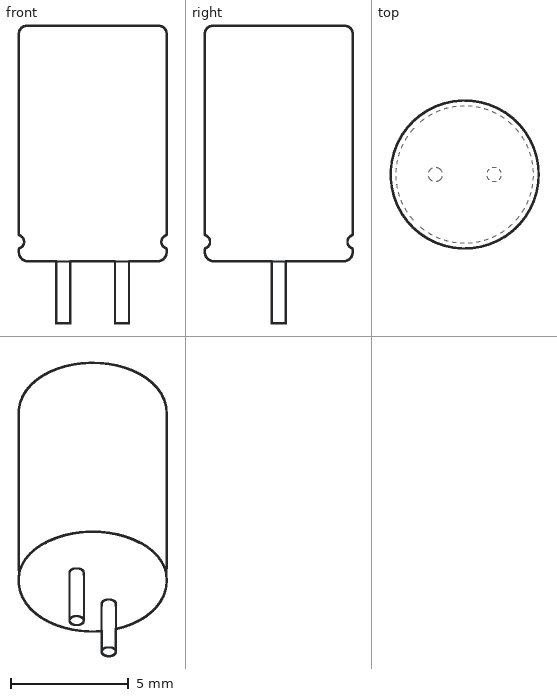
import cadquery as cq
import math

total_height = 12.66
can_diameter = 6.3
lead_length = 2.63
lead_diameter = 0.61
lead_spacing = 2.5
top_fillet = 0.35
base_fillet = 0.4

groove_height = 3.47
groove_depth = 0.23
groove_half_width = 0.27
lip_height = 0.08
lip_inset = 0.04

can_radius = can_diameter / 2
can_height = total_height - lead_length
groove_floor_radius = can_radius - groove_depth
lip_radius = can_radius - lip_inset
groove_top = groove_height + groove_half_width
groove_bottom = groove_height - groove_half_width


def make_can():
    """Plain cylinder with rounded top and base rims."""
    can = cq.Workplane("XY").workplane(offset=lead_length).circle(can_radius).extrude(can_height)
    return can.faces(">Z").edges().fillet(top_fillet).faces("<Z").edges().fillet(base_fillet)


def lip_midpoint(side):
    """Middle of a lip arc that is tangent to the can wall; side is +1 above, -1 below."""
    arc_radius = (lip_height**2 + lip_inset**2) / (2 * lip_inset)
    half_angle = math.asin(lip_height / arc_radius) / 2
    wall_end = groove_height + side * (groove_half_width + lip_height)
    radius = can_radius - arc_radius * (1 - math.cos(half_angle))
    return radius, wall_end - side * arc_radius * math.sin(half_angle)


def make_groove_cutter():
    """Ring whose inner side is the groove arc and its two lips."""
    cutter_radius = can_radius + groove_depth
    profile = (
        cq.Workplane("XZ")
        .moveTo(cutter_radius, groove_bottom - lip_height)
        .lineTo(can_radius, groove_bottom - lip_height)
        .threePointArc(lip_midpoint(-1), (lip_radius, groove_bottom))
        .threePointArc((groove_floor_radius, groove_height), (lip_radius, groove_top))
        .threePointArc(lip_midpoint(1), (can_radius, groove_top + lip_height))
        .lineTo(cutter_radius, groove_top + lip_height)
        .close()
    )
    return profile.revolve(360, (0, 0, 0), (0, 1, 0))


def make_leads():
    """Two round leads side by side along X, from the lead tips to the can base."""
    lead_centers = [(-lead_spacing / 2, 0), (lead_spacing / 2, 0)]
    return cq.Workplane("XY").pushPoints(lead_centers).circle(lead_diameter / 2).extrude(lead_length)


result = make_can().cut(make_groove_cutter()).union(make_leads())